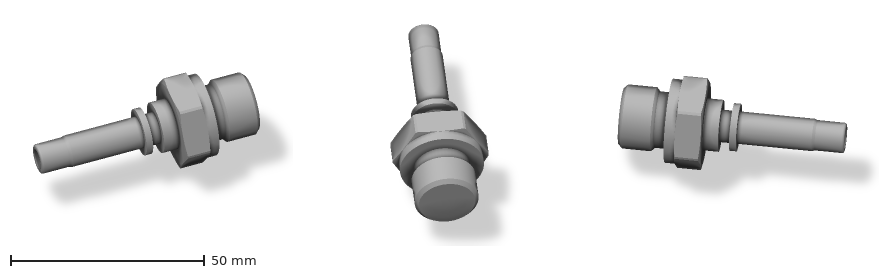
import cadquery as cq

spigot_end = 7.6
stem_start = 8.35
ring_front = 27.85
ring_back = 29.6
ring_cone_end = 29.9
collar_front = 32.45
hex_front = 36.55
hex_back = 43.4
flange_back = 46.1
neck_end = 49.1
thread_start = 49.95
thread_end = 57.5
total_length = 58.5

bore_dia = 5.5
spigot_dia = 7.9
stem_dia = 8.4
ring_dia = 12.4
collar_dia = 13.5
neck_dia = 14.7
thread_dia = 16.7
flange_dia = 21.9

hex_across_flats = 22.0
hex_corner_dia = 25.0
hex_chamfer_height = 0.35
half_hex_turn = 360 / 6 / 2

tip_fillet = 0.6
bore_depth = collar_front


def revolve_profile(stations):
    """Revolve (diameter, y) stations, ordered along Y, about the Y axis."""
    outline = [(diameter / 2, y) for diameter, y in stations]
    outline = [(0, stations[0][1])] + outline + [(0, stations[-1][1])]
    return cq.Workplane("XY").polyline(outline).close().revolve(360, (0, 0), (0, 1))


def turned_body():
    """Spigot, stem with ring, collar, flange, neck and chamfered thread."""
    body = revolve_profile([
        (spigot_dia, 0),
        (spigot_dia, spigot_end),
        (stem_dia, stem_start),
        (stem_dia, ring_front),
        (ring_dia, ring_front),
        (ring_dia, ring_back),
        (stem_dia, ring_cone_end),
        (stem_dia, collar_front),
        (collar_dia, collar_front),
        (collar_dia, hex_front),
        (flange_dia, hex_front),
        (flange_dia, flange_back),
        (neck_dia, flange_back),
        (neck_dia, neck_end),
        (thread_dia, thread_start),
        (thread_dia, thread_end),
        (neck_dia, total_length),
    ])
    return body.faces("<Y").edges().fillet(tip_fillet)


def hexagon():
    """Hexagon with flats facing +/-Z, rounded corners and conical chamfers."""
    prism = (
        cq.Workplane("XZ", origin=(0, hex_front, 0))
        .polygon(6, hex_across_flats, circumscribed=True)
        .extrude(-(hex_back - hex_front))
        .rotate((0, 0, 0), (0, 1, 0), half_hex_turn)
    )
    envelope = revolve_profile([
        (flange_dia, hex_front),
        (hex_corner_dia, hex_front + hex_chamfer_height),
        (hex_corner_dia, hex_back - hex_chamfer_height),
        (flange_dia, hex_back),
    ])
    return prism.intersect(envelope)


def bore():
    """Blind hole entering from the stem tip."""
    return cq.Workplane("XZ").circle(bore_dia / 2).extrude(-bore_depth)


fitting = turned_body().union(hexagon()).cut(bore())
result = fitting.translate((0, -total_length / 2, 0))